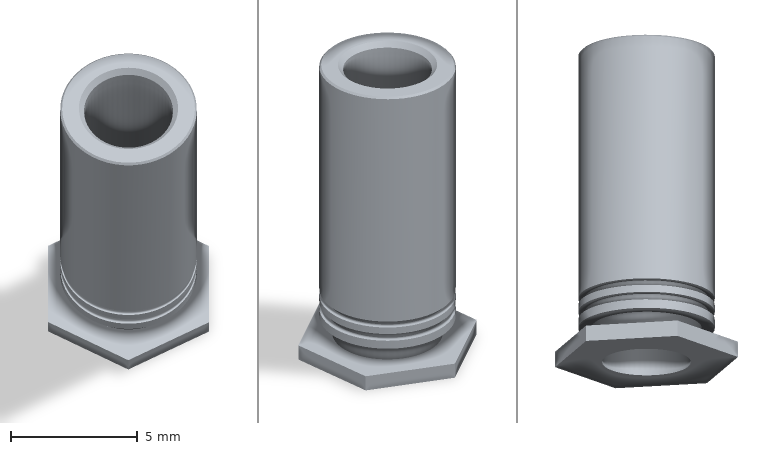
import cadquery as cq
import math

total_height = 12.7
hex_across_flats = 6.35
hex_across_corners = hex_across_flats / math.cos(math.radians(30))
hex_thickness = 0.64

barrel_diameter = 5.38
groove_diameter = 4.88
neck_diameter = 4.37
neck_top = 1.4
barrel_chamfer = 0.08
groove_spans = [(1.75, 2.06), (2.35, 2.62)]

bore_diameter = 3.5
mouth_diameter = 3.91
mouth_depth = (mouth_diameter - bore_diameter) / 2


def cylinder(diameter, bottom, top):
    """Upright cylinder on the Z axis between two heights."""
    return cq.Workplane("XY").workplane(offset=bottom).circle(diameter / 2).extrude(top - bottom)


def hex_head():
    """Thin hexagonal head with two corners on the X axis."""
    return cq.Workplane("XY").polygon(6, hex_across_corners).extrude(hex_thickness)


def grooved_barrel():
    """Chamfered barrel with ring grooves near its lower end."""
    barrel = cylinder(barrel_diameter, neck_top, total_height)
    barrel = barrel.faces(">Z").edges().chamfer(barrel_chamfer)
    for bottom, top in groove_spans:
        ring = cylinder(barrel_diameter, bottom, top).cut(cylinder(groove_diameter, bottom, top))
        barrel = barrel.cut(ring)
    return barrel


def bore():
    """Through hole widening at the top."""
    hole = cylinder(bore_diameter, 0, total_height)
    mouth = (
        cq.Workplane("XY")
        .workplane(offset=total_height - mouth_depth)
        .circle(bore_diameter / 2)
        .workplane(offset=mouth_depth)
        .circle(mouth_diameter / 2)
        .loft()
    )
    return hole.union(mouth)


neck = cylinder(neck_diameter, hex_thickness, neck_top)
result = hex_head().union(neck).union(grooved_barrel()).cut(bore())